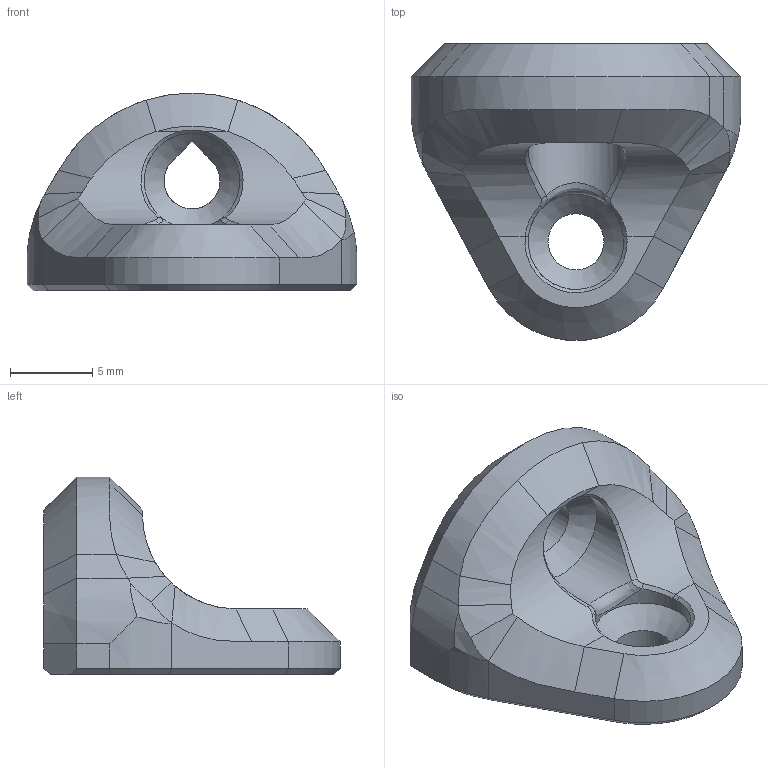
import cadquery as cq
import math


half_width = 10.0
height = 12.0
length = 18.0
wall_thickness = 6.0
floor_thickness = 4.0
corner_radius = 8.0
corner_x = half_width - corner_radius
seat_radius = 5.667

tip_radius = 6.0
plan_corner_y = -4.0
tip_y = tip_radius - length

crown_radius = 9.35
elevation_corner_z = 1.88
crown_z = height - crown_radius

edge_chamfer = 2.0
base_chamfer = 0.4

ridge_offset = 1.65
ridge_slope = 0.29
ridge_radius = 6.5
ridge_reach = 2.3

screw_diameter = 3.4
head_diameter = 5.8
floor_screw_y = tip_y
wall_screw_z = 6.67
cone_height = (head_diameter - screw_diameter) / 2
floor_head_seat = 3.0
wall_head_seat = 5.1
crossing_fillet = 0.67
rim_chamfer = 0.2

tolerance = 0.01


def flange_outline(plane, corner_level, end_level, end_radius):
    """Outline with two round corners and a round end, joined by common tangent lines.

    The outline starts at level 0 and runs to the round end on the side of end_level.
    """
    side = math.copysign(1, end_level - corner_level)
    rise = abs(end_level - corner_level)
    tilt = math.asin((corner_radius - end_radius) / math.hypot(corner_x, rise)) + math.atan2(corner_x, rise)

    def on_arc(center_x, center_level, radius, angle):
        return (center_x + radius * math.cos(angle), center_level + side * radius * math.sin(angle))

    corner_mid = on_arc(corner_x, corner_level, corner_radius, tilt / 2)
    corner_end = on_arc(corner_x, corner_level, corner_radius, tilt)
    tip_start = on_arc(0, end_level, end_radius, tilt)
    tip = (0, end_level + side * end_radius)

    def mirrored(point):
        return (-point[0], point[1])

    return (
        cq.Workplane(plane)
        .moveTo(half_width, 0)
        .lineTo(half_width, corner_level)
        .threePointArc(corner_mid, corner_end)
        .lineTo(*tip_start)
        .threePointArc(tip, mirrored(tip_start))
        .lineTo(*mirrored(corner_end))
        .threePointArc(mirrored(corner_mid), (-half_width, corner_level))
        .lineTo(-half_width, 0)
        .close()
    )


def bracket_body():
    """L-shaped bracket with a concave seat, trimmed by the plan and elevation outlines."""
    plan = flange_outline("XY", plan_corner_y, tip_y, tip_radius).extrude(height)
    elevation = flange_outline("XZ", elevation_corner_z, crown_z, crown_radius).extrude(length)
    profile = (
        cq.Workplane("YZ")
        .lineTo(0, height)
        .lineTo(-wall_thickness, height)
        .lineTo(-wall_thickness, floor_thickness + seat_radius)
        .radiusArc((-wall_thickness - seat_radius, floor_thickness), seat_radius)
        .lineTo(-length, floor_thickness)
        .lineTo(-length, 0)
        .close()
        .extrude(half_width, both=True)
    )
    return plan.intersect(elevation).intersect(profile)


def break_edges(body):
    """Chamfer the seat rim, the rear face outline and the base outline."""
    seat_box = cq.selectors.BoxSelector(
        (-half_width, -length - tolerance, floor_thickness - tolerance),
        (half_width, -wall_thickness + tolerance, height + tolerance),
    )
    body = body.edges(seat_box).edges("not |X").chamfer(edge_chamfer)
    body = body.faces(">Y").edges("not <Z").chamfer(edge_chamfer)
    return body.faces("<Z").edges("not (|(1,1,0) or |(1,-1,0))").chamfer(base_chamfer)


def countersunk_cutter(plane, head_seat, reach, teardrop):
    """Clearance hole, countersink and head bore along +Z of a plane lying on the outer face.

    The head bore starts at head_seat and ends at reach. A teardrop hole has a 45 degree pointed roof.
    """
    cone_start = head_seat - cone_height
    hole = cq.Workplane(plane).circle(screw_diameter / 2).extrude(reach)
    if teardrop:
        flank = screw_diameter / 2 * math.sqrt(0.5)
        roof = (
            cq.Workplane(plane)
            .moveTo(-flank, flank)
            .lineTo(0, 2 * flank)
            .lineTo(flank, flank)
            .lineTo(0, 0)
            .close()
            .extrude(head_seat)
        )
        hole = hole.union(roof)
    cone = (
        cq.Workplane(plane)
        .workplane(offset=cone_start)
        .circle(screw_diameter / 2)
        .workplane(offset=cone_height)
        .circle(head_diameter / 2)
        .loft(ruled=True)
    )
    head = (
        cq.Workplane(plane)
        .workplane(offset=head_seat)
        .circle(head_diameter / 2)
        .extrude(reach - head_seat)
    )
    return hole.union(cone).union(head)


def break_bore_rims(body):
    """Round the edge where the two head bores cross, then chamfer their rims in the seat."""
    bore_radius = head_diameter / 2
    crossing_y = floor_screw_y + bore_radius
    crossing_half_length = bore_radius / 2
    crossing_rise = bore_radius / 5
    crossing_box = cq.selectors.BoxSelector(
        (-bore_radius, crossing_y - crossing_half_length, wall_screw_z - bore_radius),
        (bore_radius, crossing_y + crossing_half_length, floor_thickness + crossing_rise),
    )
    rim_box = cq.selectors.BoxSelector(
        (-bore_radius, floor_screw_y - bore_radius, floor_thickness - tolerance),
        (bore_radius, -wall_thickness, wall_screw_z + bore_radius),
    )
    body = body.edges(crossing_box).fillet(crossing_fillet)
    return body.edges(rim_box - crossing_box).chamfer(rim_chamfer)


def bevel_corner_ridges(body):
    """Bevel the short ridge where the plan and elevation corner rounds meet beside the seat."""
    ridge_drop = corner_radius - math.sqrt(corner_radius**2 - ridge_offset**2)
    ridge_start = (half_width - ridge_drop, plan_corner_y - ridge_offset, elevation_corner_z + ridge_offset)
    for side in (1, -1):
        ridge_plane = cq.Plane(
            (side * ridge_start[0], ridge_start[1], ridge_start[2]),
            (0, 1, 1),
            (side, -ridge_slope, ridge_slope),
        )
        cutter = (
            cq.Workplane(ridge_plane)
            .workplane(offset=-corner_x / 2)
            .rect(2 * ridge_reach, 2 * ridge_reach)
            .extrude(corner_x)
            .cut(
                cq.Workplane(ridge_plane)
                .transformed(rotate=(90, 0, 0), offset=(0, 0, -ridge_radius))
                .circle(ridge_radius)
                .extrude(half_width, both=True)
            )
        )
        body = body.cut(cutter)
    return body


floor_plane = cq.Plane((0, floor_screw_y, 0), (1, 0, 0), (0, 0, 1))
wall_plane = cq.Plane((0, 0, wall_screw_z), (1, 0, 0), (0, -1, 0))
body = bevel_corner_ridges(break_edges(bracket_body()))
body = body.cut(countersunk_cutter(floor_plane, floor_head_seat, height, False))
body = body.cut(countersunk_cutter(wall_plane, wall_head_seat, -floor_screw_y, True))
result = break_bore_rims(body)